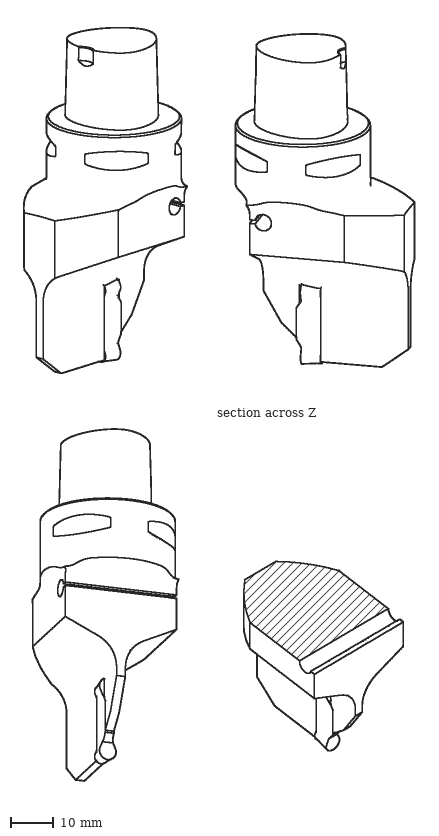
import cadquery as cq
import math


total_length = 79
total_depth = 42.0

shank_length = 18.9
shank_base_radius = 11.05
shank_taper = 1 / 40
lobe_height = 0.6
shank_curve_points = 48
drive_notch_radius = 3.2
drive_notch_depth = 3.4
drive_notch_bottom_y = -8.85
drive_notch_tip_angle = 35
drive_notch_chamfer = 0.2

flange_radius = 32.0 / 2
flange_chamfer = 0.5
flange_bottom_z = -15.0
grip_slot_count = 4
grip_slot_z = -6.25
grip_slot_width = 2.5
grip_slot_floor = 14.15
grip_slot_flare = 30
grip_slot_corner_radius = 0.4
grip_slot_overshoot = 0.8

neck_fillet_start_z = -15.5
neck_fillet_radius = 1.0
shoulder_angle = 15
head_half_width = 14.0
head_back_y = 9.4
head_front_y = flange_radius - total_depth
relief_radius = 4.0
side_relief_z = -18.1
nose_start_y = -13.75
nose_mid_point = (9.95, -20.5)
nose_half_width = 4.9
slit_z = -20.8
slit_width = 0.9
slit_hole_y = 6.1
slit_hole_diameter = 4.0

blade_half_thickness = 1.1
blade_top_z = -40.05
blade_fillet_radius = 8.0
blade_slope_angle = 25
blade_bottom_z = -58.9
blade_front_chamfer_y = -19.6
blade_front_chamfer_z = -53.95
blade_back_corner_z = -42.3
blade_back_bend = (5.05, -49.85)
blade_jaw_z = -53.3

tool_bottom_z = shank_length - total_length
insert_top_z = -39.65
insert_mid_z = (insert_top_z + tool_bottom_z) / 2
insert_bottom_y = -4.7
insert_top_y = 1.35
cutting_face_y = 0.1
edge_radius = 4.2 / 2
flank_angle = 23
relief_angle = 7
relief_end_y = -3.7
flank_fillet_radius = 2.0
edge_offset = (insert_top_z - tool_bottom_z) / 2 - edge_radius
cutting_face_length = 5.9
ramp_bend = (0.4, 5.4)
clamp_length = 3.95
chip_gap_y = 0.6
chip_gap_top_z = -40.2
chip_gap_bottom_z = -44.7

margin = 31.6


def polar(length, angle):
    """Point at a distance and an angle in degrees from the origin."""
    return length * math.cos(math.radians(angle)), length * math.sin(math.radians(angle))


def shank_section(z):
    """Closed three-lobed curve of constant width, with a lobe toward +Y."""
    mean_radius = shank_base_radius - shank_taper * z

    def point(t):
        angle = 2 * math.pi * t
        support = mean_radius - lobe_height * math.sin(3 * angle)
        slope = -3 * lobe_height * math.cos(3 * angle)
        x = support * math.cos(angle) - slope * math.sin(angle)
        y = support * math.sin(angle) + slope * math.cos(angle)
        return x, y, z

    points = [cq.Vector(*point(i / shank_curve_points)) for i in range(shank_curve_points)]
    return cq.Wire.assembleEdges([cq.Edge.makeSpline(points, periodic=True)])


def make_shank():
    shank = cq.Workplane(cq.Solid.makeLoft([shank_section(0), shank_section(shank_length)]))
    return shank.cut(make_drive_notch())


def make_drive_notch():
    """Upright drilled notch with a chamfered rim and a conical floor."""
    r = drive_notch_radius
    floor_z = shank_length - drive_notch_depth
    tip_z = floor_z - r * math.tan(math.radians(drive_notch_tip_angle))
    rim_z = shank_length - drive_notch_chamfer
    rim_radius = r + drive_notch_chamfer
    profile = [(0, tip_z), (r, floor_z), (r, rim_z), (rim_radius, shank_length), (0, shank_length)]
    notch = cq.Workplane("XZ").polyline(profile).close().revolve(360, (0, 0), (0, 1))
    return notch.translate((0, drive_notch_bottom_y - r, 0))


def make_turned_blank():
    """Flange, neck fillet and conical shoulder as one turned shape."""
    fillet_center = (flange_radius + neck_fillet_radius, neck_fillet_start_z)

    def fillet_point(angle):
        dx, dz = polar(neck_fillet_radius, angle)
        return fillet_center[0] + dx, fillet_center[1] + dz

    end_angle = 270 - shoulder_angle
    shoulder_start = fillet_point(end_angle)
    shoulder_drop = (margin - shoulder_start[0]) * math.tan(math.radians(shoulder_angle))
    return (
        cq.Workplane("XZ")
        .moveTo(0, 0)
        .lineTo(flange_radius - flange_chamfer, 0)
        .lineTo(flange_radius, -flange_chamfer)
        .lineTo(flange_radius, neck_fillet_start_z)
        .threePointArc(fillet_point((180 + end_angle) / 2), shoulder_start)
        .lineTo(margin, shoulder_start[1] - shoulder_drop)
        .lineTo(margin, blade_bottom_z)
        .lineTo(0, blade_bottom_z)
        .close()
        .revolve(360, (0, 0), (0, 1))
    )


def make_width_envelope():
    """Outline across X: flange reliefs, head flats, sloped underside and blade."""
    r = relief_radius
    relief_x = head_half_width + r
    relief_dx, relief_dz = polar(r, 135)
    fillet_x = blade_half_thickness + blade_fillet_radius
    slope_dx, slope_dz = polar(blade_fillet_radius, 90 + blade_slope_angle)
    slope_start = (fillet_x + slope_dx, blade_top_z + slope_dz)
    fillet_dx, fillet_dz = polar(blade_fillet_radius, (270 + blade_slope_angle) / 2)
    slope_rise = (head_half_width - slope_start[0]) * math.tan(math.radians(blade_slope_angle))
    half = (
        cq.Workplane("XZ")
        .moveTo(0, 0)
        .lineTo(margin, 0)
        .lineTo(margin, side_relief_z + r)
        .lineTo(relief_x, side_relief_z + r)
        .threePointArc((relief_x + relief_dx, side_relief_z + relief_dz), (head_half_width, side_relief_z))
        .lineTo(head_half_width, slope_start[1] + slope_rise)
        .lineTo(*slope_start)
        .threePointArc((fillet_x + fillet_dx, blade_top_z + fillet_dz), (blade_half_thickness, blade_top_z))
        .lineTo(blade_half_thickness, blade_bottom_z)
        .lineTo(0, blade_bottom_z)
        .close()
        .extrude(margin, both=True)
    )
    return half.union(half.mirror("YZ"))


def make_depth_envelope():
    """Outline across Y: back relief, back face, blade back, jaw and front chamfer."""
    r = relief_radius
    relief_y = head_back_y + r
    relief_z = flange_bottom_z - r
    relief_dy, relief_dz = polar(r, 135)
    return (
        cq.Workplane("YZ")
        .moveTo(head_front_y, 0)
        .lineTo(margin, 0)
        .lineTo(margin, flange_bottom_z)
        .lineTo(relief_y, flange_bottom_z)
        .threePointArc((relief_y + relief_dy, relief_z + relief_dz), (head_back_y, relief_z))
        .lineTo(head_back_y, blade_back_corner_z)
        .lineTo(*blade_back_bend)
        .lineTo(insert_top_y, blade_jaw_z)
        .lineTo(insert_bottom_y, blade_jaw_z)
        .lineTo(insert_bottom_y, blade_bottom_z)
        .lineTo(blade_front_chamfer_y, blade_bottom_z)
        .lineTo(head_front_y, blade_front_chamfer_z)
        .close()
        .extrude(margin, both=True)
    )


def make_nose_envelope():
    """Plan outline that narrows the front of the head with two bowed sides."""
    mid_x, mid_y = nose_mid_point
    return (
        cq.Workplane("XY")
        .moveTo(-margin, margin)
        .lineTo(-margin, nose_start_y)
        .lineTo(-head_half_width, nose_start_y)
        .threePointArc((-mid_x, mid_y), (-nose_half_width, head_front_y))
        .lineTo(nose_half_width, head_front_y)
        .threePointArc((mid_x, mid_y), (head_half_width, nose_start_y))
        .lineTo(margin, nose_start_y)
        .lineTo(margin, margin)
        .close()
        .extrude(tool_bottom_z)
    )


def make_grip_slot(angle):
    """Flared slot with rounded floor corners, cut in the flange rim at an angle around the axis."""
    depth = flange_radius - grip_slot_floor + grip_slot_overshoot
    flare = depth * math.tan(math.radians(grip_slot_flare))
    inner = grip_slot_width / 2
    outer = inner + flare
    profile = [(0, -inner), (0, inner), (depth, outer), (depth, -outer)]
    slot = cq.Workplane("XZ").polyline(profile).close().extrude(flange_radius, both=True)
    slot = slot.faces("<X").edges("|Y").fillet(grip_slot_corner_radius)
    return slot.translate((grip_slot_floor, 0, grip_slot_z)).rotate((0, 0, 0), (0, 0, 1), angle)


def make_clamp_slit():
    """Cross hole with a slit that opens at the back of the head."""
    hole = (
        cq.Workplane("YZ")
        .center(slit_hole_y, slit_z)
        .circle(slit_hole_diameter / 2)
        .extrude(margin, both=True)
    )
    slit_length = margin - slit_hole_y
    slit = cq.Workplane("XY").box(2 * margin, slit_length, slit_width)
    return hole.union(slit.translate((0, slit_hole_y + slit_length / 2, slit_z)))


def edge_section(y):
    """Round edge at one depth, with flanks that fillet into the web of the insert."""
    radius = edge_radius + (y - cutting_face_y) * math.tan(math.radians(relief_angle))
    center_z = insert_mid_z - edge_offset
    tangent_x, tangent_dz = polar(radius, flank_angle)

    fillet_x = blade_half_thickness + flank_fillet_radius
    flank = math.radians(flank_angle)
    fillet_reach = radius + flank_fillet_radius
    fillet_z = center_z + (fillet_reach - fillet_x * math.cos(flank)) / math.sin(flank)
    mid_dx, mid_dz = polar(flank_fillet_radius, 180 + flank_angle / 2)
    end_dx, end_dz = polar(flank_fillet_radius, 180 + flank_angle)
    mid_x = fillet_x + mid_dx
    mid_z = fillet_z + mid_dz
    end_x = fillet_x + end_dx
    end_z = fillet_z + end_dz
    return (
        cq.Workplane("XZ", origin=(0, y, 0))
        .moveTo(-blade_half_thickness, fillet_z)
        .threePointArc((-mid_x, mid_z), (-end_x, end_z))
        .lineTo(-tangent_x, center_z + tangent_dz)
        .threePointArc((0, center_z - radius), (tangent_x, center_z + tangent_dz))
        .lineTo(end_x, end_z)
        .threePointArc((mid_x, mid_z), (blade_half_thickness, fillet_z))
        .close()
    )


def make_insert_side(bottom_z, half_thickness):
    """Lower half of the stepped side outline of the insert, down to a given height."""
    bend_y, bend_length = ramp_bend
    bottom_length = insert_mid_z - bottom_z
    outline = [
        (insert_bottom_y, 0),
        (insert_bottom_y, -bottom_length),
        (cutting_face_y, -bottom_length),
        (cutting_face_y, -cutting_face_length),
        (bend_y, -bend_length),
        (insert_top_y, -clamp_length),
        (insert_top_y, 0),
    ]
    return (
        cq.Workplane("YZ", origin=(0, 0, insert_mid_z))
        .polyline(outline)
        .close()
        .extrude(half_thickness, both=True)
    )


def make_cutting_edge():
    """Lower cutting edge: relieved below its face, then straight to the insert seat."""
    wide_wire = edge_section(insert_top_y).val()
    narrow_wire = edge_section(relief_end_y).val()
    relieved = cq.Workplane(cq.Solid.makeLoft([wide_wire, narrow_wire], True))
    straight = edge_section(relief_end_y).extrude(relief_end_y - insert_bottom_y)
    return relieved.union(straight).intersect(make_insert_side(tool_bottom_z, edge_radius))


def make_insert():
    """Double-ended cutting insert, alike above and below its middle."""
    web = make_insert_side(insert_mid_z - edge_offset, blade_half_thickness)
    lower_half = web.union(make_cutting_edge())
    upper_half = lower_half.mirror("XY", (0, 0, insert_mid_z))
    return lower_half.union(upper_half).clean()


def make_chip_gap():
    """Open gap in the blade beside the unused upper cutting edge."""
    height = chip_gap_top_z - chip_gap_bottom_z
    gap = cq.Workplane("XY").box(2 * margin, chip_gap_y - cutting_face_y, height)
    mid_y = (chip_gap_y + cutting_face_y) / 2
    return gap.translate((0, mid_y, chip_gap_bottom_z + height / 2))


def make_holder(insert):
    body = make_turned_blank()
    body = body.intersect(make_width_envelope())
    body = body.intersect(make_depth_envelope())
    body = body.intersect(make_nose_envelope())
    for i in range(grip_slot_count):
        body = body.cut(make_grip_slot((i + 0.5) * 360 / grip_slot_count))
    body = body.cut(make_clamp_slit())
    body = body.union(make_shank())
    return body.cut(make_chip_gap()).cut(insert)


insert = make_insert()
holder = make_holder(insert)

result = cq.Compound.makeCompound([holder.solids().val(), insert.solids().val()])